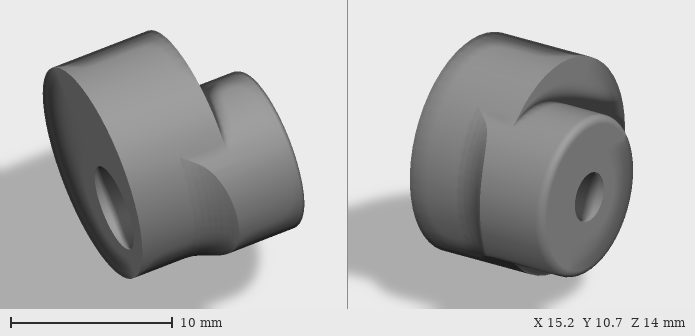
import cadquery as cq
import math

disc_diameter = 13.96
disc_thickness = 6.63
boss_diameter = 10.37
boss_length = 4.1
boss_offset = 3.04
boss_edge_radius = 0.5
blend_radius = 3.0
bore_diameter = 3.2
counterbore_diameter = 5.5
counterbore_depth = 3.1

disc_radius = disc_diameter / 2
boss_radius = boss_diameter / 2
total_length = disc_thickness + boss_length
blend_start = disc_thickness - blend_radius


def cylinder(x, diameter, y_start, y_end):
    """Solid cylinder along Y between two Y positions, with its seam on the -X side."""
    plane = cq.Plane(origin=(x, y_start, 0), xDir=(-1, 0, 0), normal=(0, 1, 0))
    return cq.Workplane(plane).circle(diameter / 2).extrude(y_end - y_start)


disc_to_blend = disc_radius + blend_radius
boss_to_blend = boss_radius + blend_radius
blend_x = (disc_to_blend**2 - boss_to_blend**2 + boss_offset**2) / (2 * boss_offset)
blend_z = math.sqrt(disc_to_blend**2 - blend_x**2)

disc_touch_x = blend_x * disc_radius / disc_to_blend
disc_touch_z = blend_z * disc_radius / disc_to_blend
boss_touch_x = boss_offset + (blend_x - boss_offset) * boss_radius / boss_to_blend
boss_touch_z = blend_z * boss_radius / boss_to_blend
blend_mid_angle = (
    math.atan2(disc_touch_z - blend_z, disc_touch_x - blend_x)
    + math.atan2(boss_touch_z - blend_z, boss_touch_x - blend_x)
) / 2
blend_mid_x = blend_x + blend_radius * math.cos(blend_mid_angle)
blend_mid_z = blend_z + blend_radius * math.sin(blend_mid_angle)

overhang = (
    cq.Workplane("XZ", origin=(0, blend_start, 0))
    .moveTo(disc_touch_x, disc_touch_z)
    .threePointArc((blend_mid_x, blend_mid_z), (boss_touch_x, boss_touch_z))
    .threePointArc((boss_offset + boss_radius, 0), (boss_touch_x, -boss_touch_z))
    .threePointArc((blend_mid_x, -blend_mid_z), (disc_touch_x, -disc_touch_z))
    .close()
    .extrude(-blend_radius)
)

arc_step = blend_radius * math.sqrt(0.5)
flare_envelope = (
    cq.Workplane("XY")
    .moveTo(0, blend_start)
    .lineTo(disc_radius, blend_start)
    .threePointArc(
        (disc_radius + blend_radius - arc_step, blend_start + arc_step),
        (disc_radius + blend_radius, disc_thickness),
    )
    .lineTo(0, disc_thickness)
    .close()
    .revolve(360, (0, 0, 0), (0, 1, 0))
)
overhang = overhang.intersect(flare_envelope)

disc = cylinder(0, disc_diameter, 0, disc_thickness)
boss = cylinder(boss_offset, boss_diameter, disc_thickness, total_length)
boss = boss.faces(">Y").edges().fillet(boss_edge_radius)

bore = cylinder(boss_offset, bore_diameter, 0, total_length)
counterbore = cylinder(boss_offset, counterbore_diameter, 0, counterbore_depth)

result = disc.union(overhang).union(boss).cut(bore).cut(counterbore)